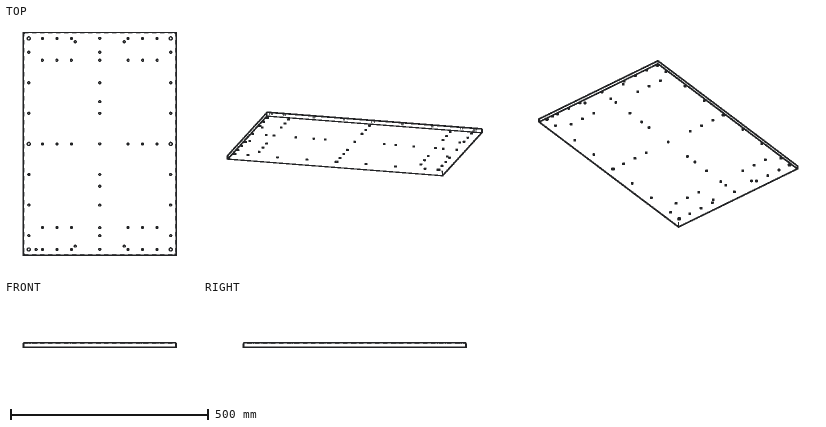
import cadquery as cq

WIDTH = 389.0
LENGTH = 565.0
HEIGHT = 12.0
SHEET = 2.0
OUTER_BEND_RADIUS = 4.0
INNER_BEND_RADIUS = 0.5

SMALL_HOLE = 4.5
CORNER_HOLE = 7.5

SIDE_COLUMN = 179.5
INNER_COLUMN = 72.0
COLUMN_PITCH = 37.0
GRID_COLUMNS = [INNER_COLUMN + step * COLUMN_PITCH for step in range(3)]
OFFSET_COLUMN = 62.0

END_ROW = 267.0
OFFSET_ROW = 259.0
GRID_ROW = 212.0
CENTRE_ROW = 107.5
SIDE_ROW_PITCH = 77.5
SIDE_ROWS = [step * SIDE_ROW_PITCH for step in (1, 2, 3)]

EXTRA_HOLE_X = -161.0


def rounded_block(inset, radius):
    """Block standing on Z = 0, set in from the outer sides and top, with its top edges rounded."""
    width = WIDTH - 2 * inset
    length = LENGTH - 2 * inset
    block = cq.Workplane("XY").box(width, length, HEIGHT - inset, centered=(True, True, False))
    return block.faces(">Z").edges().fillet(radius)


def make_tray():
    """Top sheet with a flange folded down along all four sides."""
    return rounded_block(0, OUTER_BEND_RADIUS).cut(rounded_block(SHEET, INNER_BEND_RADIUS))


def mirrored(columns, rows):
    """Every distinct point at plus or minus each column and row."""
    points = {(sx * x, sy * y) for x in columns for y in rows for sx in (1, -1) for sy in (1, -1)}
    return sorted(points)


def drill(body, points, diameter):
    """Cut round holes through the top sheet."""
    pins = cq.Workplane("XY").pushPoints(points).circle(diameter / 2).extrude(HEIGHT)
    return body.cut(pins)


corner_holes = mirrored([SIDE_COLUMN], [0, END_ROW])
small_holes = (
    mirrored(GRID_COLUMNS, [0, GRID_ROW, END_ROW])
    + mirrored([0], [0, CENTRE_ROW, GRID_ROW, END_ROW])
    + mirrored([0, SIDE_COLUMN], SIDE_ROWS)
    + mirrored([OFFSET_COLUMN], [OFFSET_ROW])
    + [(EXTRA_HOLE_X, -END_ROW)]
)

result = make_tray()
result = drill(result, corner_holes, CORNER_HOLE)
result = drill(result, small_holes, SMALL_HOLE)